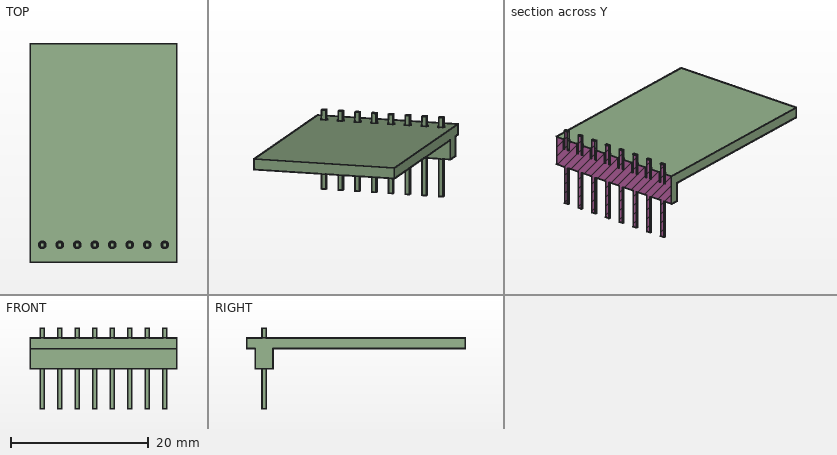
import cadquery as cq

board_width = 21.35
board_length = 31.75
board_thickness = 1.6

pin_count = 8
pin_pitch = 2.55
pin_size = 0.65
pin_length = 11.7
pin_rise = 1.4
hole_diameter = 1.02
row_edge_distance = 2.55

header_depth = 2.6
header_height = 2.92

row_y = -board_length / 2 + row_edge_distance
pin_top = board_thickness + pin_rise


def make_board():
    """Plain board with a row of round through holes."""
    blank = cq.Workplane("XY").box(board_width, board_length, board_thickness, centered=(True, True, False))
    holes = (
        cq.Workplane("XY")
        .center(0, row_y)
        .rarray(pin_pitch, 0.32, pin_count, 1)
        .circle(hole_diameter / 2)
        .extrude(board_thickness)
    )
    return blank.cut(holes)


def make_header():
    """Plastic strip against the lower face of the board."""
    return (
        cq.Workplane("XY")
        .center(0, row_y)
        .rect(board_width, header_depth)
        .extrude(-header_height)
    )


def make_pins():
    """Square pins passing through the header and the board holes."""
    return (
        cq.Workplane("XY", origin=(0, row_y, pin_top))
        .rarray(pin_pitch, 0.32, pin_count, 1)
        .rect(pin_size, pin_size)
        .extrude(-pin_length)
    )


result = make_board().union(make_header()).union(make_pins())